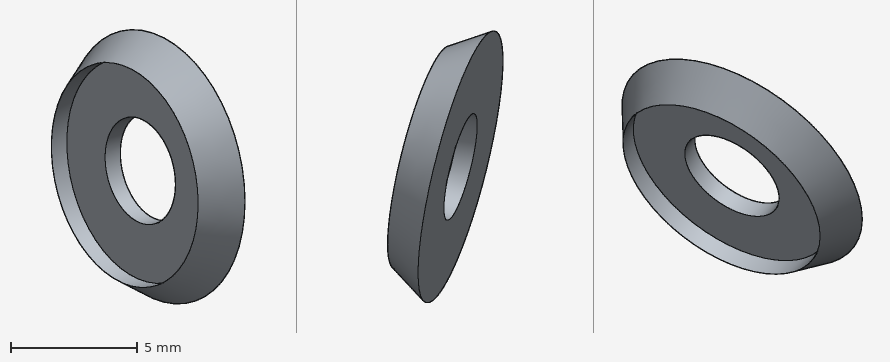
import cadquery as cq

outer_diameter = 11.11
thickness = 1.59
rim_diameter = 9.11
hole_diameter = 4.35
recess_depth = 0.8

outer_radius = outer_diameter / 2
rim_radius = rim_diameter / 2
hole_radius = hole_diameter / 2
front_y = -thickness / 2
back_y = thickness / 2
floor_y = front_y + recess_depth

section = (
    cq.Workplane("XY")
    .moveTo(hole_radius, floor_y)
    .lineTo(rim_radius, floor_y)
    .lineTo(rim_radius, front_y)
    .lineTo(outer_radius, back_y)
    .lineTo(hole_radius, back_y)
    .close()
)

result = section.revolve(360, (0, 0, 0), (0, 1, 0))